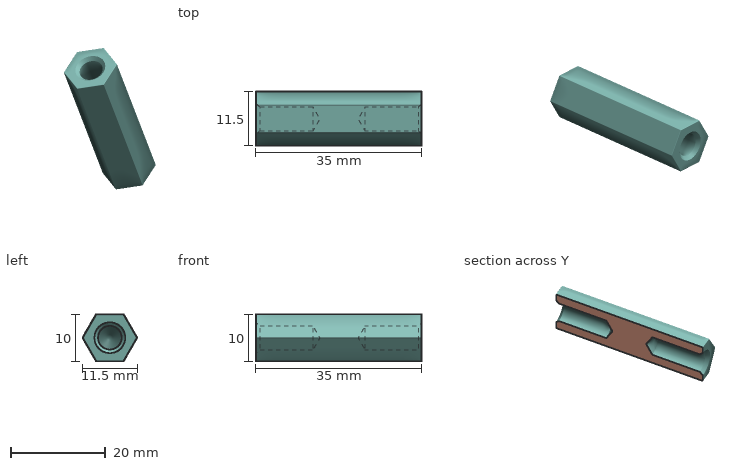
import cadquery as cq
import math

length = 35.0
across_flats = 10.0
edge_radius = 0.1
bore_diameter = 5.0
countersink_diameter = 6.5
bore_depth = 12.0
drill_point_angle = 120.0

across_corners = across_flats / math.cos(math.radians(30))
bore_radius = bore_diameter / 2
countersink_radius = countersink_diameter / 2
countersink_depth = countersink_radius - bore_radius
drill_point_depth = bore_radius / math.tan(math.radians(drill_point_angle / 2))


def hex_body():
    """Hexagonal bar along X, flats up and down, with all edges slightly rounded."""
    bar = cq.Workplane("YZ").polygon(6, across_corners).extrude(length / 2, both=True)
    return bar.edges().fillet(edge_radius)


def blind_bore():
    """Countersunk blind hole with a drill point, entering the -X end."""
    mouth = -length / 2
    bore_end = mouth + bore_depth
    return (
        cq.Workplane("XY")
        .moveTo(mouth, 0)
        .lineTo(mouth, countersink_radius)
        .lineTo(mouth + countersink_depth, bore_radius)
        .lineTo(bore_end, bore_radius)
        .lineTo(bore_end + drill_point_depth, 0)
        .close()
        .revolve(360, (0, 0, 0), (1, 0, 0))
    )


bore = blind_bore()
result = hex_body().cut(bore).cut(bore.mirror("YZ"))